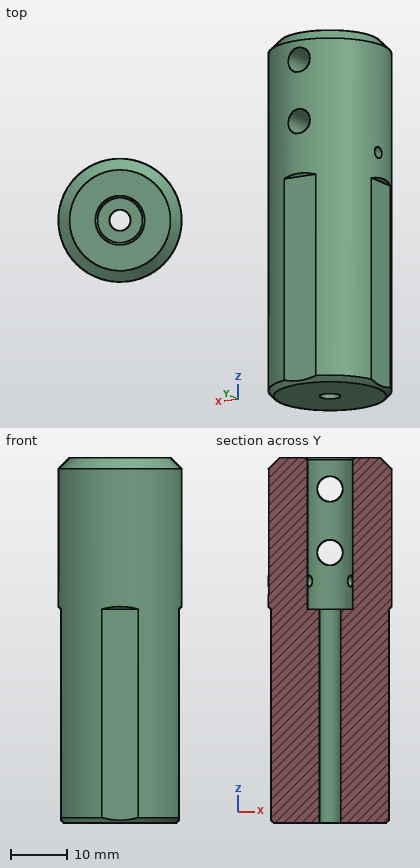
import cadquery as cq

length = 65.0
body_diameter = 22.0
top_chamfer = 2.0
bottom_chamfer = 1.0

across_flats = 21.0
flat_top = 38.0

bore_diameter = 8.0
bore_mouth_diameter = 8.8
bore_floor = flat_top
through_diameter = 3.7

screw_diameter = 4.5
screw_depths_below_top = (5.6, 16.9)

cross_diameter = 2.0
cross_offset = 1.5
cross_depth_below_top = 22.0

body_radius = body_diameter / 2
flat_distance = across_flats / 2
flat_depth = body_radius - flat_distance


def make_body():
    body = cq.Workplane("XY").circle(body_radius).extrude(length)
    body = body.faces(">Z").chamfer(top_chamfer)
    return body.faces("<Z").chamfer(bottom_chamfer)


def make_flat_cutter(angle):
    """Return a cutter on the +X side, with a 45 degree runout at its top, turned about Z."""
    profile = [
        (flat_distance, 0),
        (flat_distance, flat_top),
        (body_radius, flat_top + flat_depth),
        (body_radius, 0),
    ]
    cutter = cq.Workplane("XZ").polyline(profile).close().extrude(body_radius, both=True)
    return cutter.rotate((0, 0, 0), (0, 0, 1), angle)


def make_bore():
    mouth_chamfer = (bore_mouth_diameter - bore_diameter) / 2
    bore_radius = bore_diameter / 2
    through_radius = through_diameter / 2
    profile = [
        (0, 0),
        (through_radius, 0),
        (through_radius, bore_floor),
        (bore_radius, bore_floor),
        (bore_radius, length - mouth_chamfer),
        (bore_mouth_diameter / 2, length),
        (0, length),
    ]
    return cq.Workplane("XZ").polyline(profile).close().revolve(360, (0, 0), (0, 1))


def make_screw_hole(depth_below_top):
    plane = cq.Workplane("XZ").center(0, length - depth_below_top)
    return plane.circle(screw_diameter / 2).extrude(-body_radius)


def make_cross_hole():
    plane = cq.Workplane("YZ").center(cross_offset, length - cross_depth_below_top)
    return plane.circle(cross_diameter / 2).extrude(body_radius, both=True)


result = make_body()
for flat_angle in (0, 90, 180, 270):
    result = result.cut(make_flat_cutter(flat_angle))
result = result.cut(make_bore())
for screw_depth in screw_depths_below_top:
    result = result.cut(make_screw_hole(screw_depth))
result = result.cut(make_cross_hole())